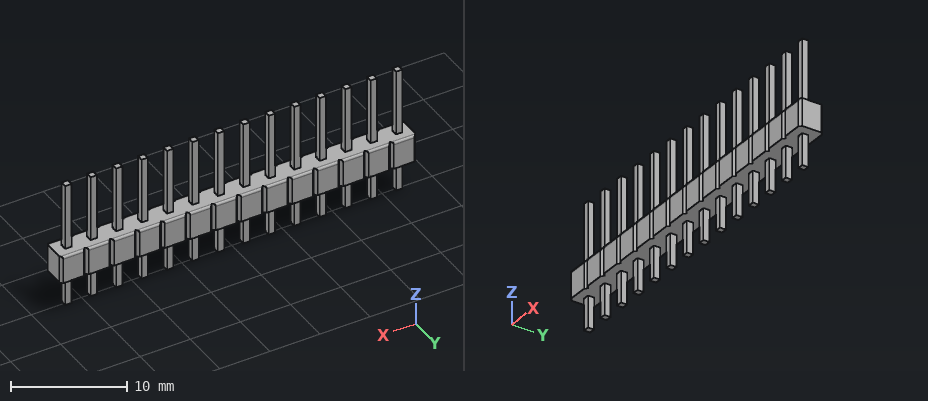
import cadquery as cq

PIN_COUNT = 14
BODY_LENGTH = 35.55
BODY_WIDTH = 2.5
BODY_HEIGHT = 2.8
BODY_BOTTOM = 3.2
PITCH = BODY_LENGTH / PIN_COUNT

BEVEL = 0.25
TOP_RADIUS = 0.2

PIN_SIZE = 0.65
PIN_LENGTH = 12.7
PIN_SHIFT = -0.045


def segment_centers():
    """Centre points of the segments along the strip."""
    first = -(PIN_COUNT - 1) * PITCH / 2
    return [(first + index * PITCH, 0) for index in range(PIN_COUNT)]


def rounded_bar():
    """Full-length bar standing on the housing's underside, with its long top edges rounded."""
    base = cq.Workplane("XY", origin=(0, 0, BODY_BOTTOM))
    bar = base.box(BODY_LENGTH, BODY_WIDTH, BODY_HEIGHT, centered=(True, True, False))
    return bar.edges("|X and >Z").fillet(TOP_RADIUS)


def segment_blocks():
    """Row of blocks with bevelled upright corners; neighbours meet in V-grooves."""
    half_length = PITCH / 2
    half_width = BODY_WIDTH / 2
    outline = [
        (-half_length, half_width - BEVEL),
        (-half_length + BEVEL, half_width),
        (half_length - BEVEL, half_width),
        (half_length, half_width - BEVEL),
        (half_length, -half_width + BEVEL),
        (half_length - BEVEL, -half_width),
        (-half_length + BEVEL, -half_width),
        (-half_length, -half_width + BEVEL),
    ]
    row = cq.Workplane("XY")
    for x, y in segment_centers():
        block = (
            cq.Workplane("XY", origin=(x, y, BODY_BOTTOM))
            .polyline(outline)
            .close()
            .extrude(BODY_HEIGHT)
        )
        row = row.union(block)
    return row


def pins():
    """Row of square pins, one through each segment."""
    return (
        cq.Workplane("XY", origin=(PIN_SHIFT, 0, 0))
        .pushPoints(segment_centers())
        .rect(PIN_SIZE, PIN_SIZE)
        .extrude(PIN_LENGTH)
    )


housing = rounded_bar().intersect(segment_blocks())
result = housing.union(pins()).clean()